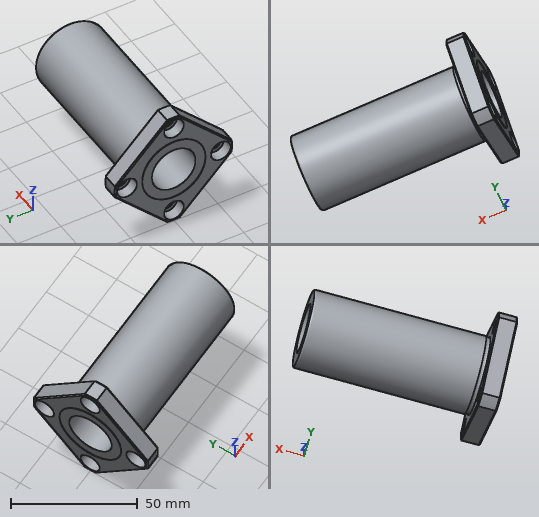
import cadquery as cq
import math

length = 80.0
body_diameter = 32.0
bore_diameter = 20.0

flange_thickness = 8.0
flange_across_flats = 42.0
flange_diameter = 54.0
flange_chamfer = 0.5

groove_width = 1.75
groove_depth = 0.4

rim_length = 1.0
rim_drop = 0.5

recess_diameter = 29.0
recess_depth = 0.2

hole_circle_diameter = 43.0
hole_count = 4
hole_diameter = 5.5
counterbore_diameter = 9.0
counterbore_depth = 5.1


def cylinder(diameter, start, end):
    """Round bar along X between two positions."""
    return cq.Workplane("YZ").workplane(offset=start).circle(diameter / 2).extrude(end - start)


def make_flange():
    """Square plate turned by 45 degrees, with round corners and chamfered rims."""
    square = (
        cq.Workplane("YZ")
        .transformed(rotate=(0, 0, 45))
        .rect(flange_across_flats, flange_across_flats)
        .extrude(flange_thickness)
    )
    plate = square.intersect(cylinder(flange_diameter, 0, flange_thickness))
    return plate.faces("<X or >X").edges().chamfer(flange_chamfer)


def make_body():
    """Sleeve turned about the X axis, with a groove at the flange and a rounded free rim."""
    radius = body_diameter / 2
    groove_middle = (flange_thickness + groove_width / 2, radius - groove_depth)
    groove_end = (flange_thickness + groove_width, radius)
    rim_start = length - rim_length
    return (
        cq.Workplane("XY")
        .moveTo(0, 0)
        .lineTo(0, radius)
        .lineTo(flange_thickness, radius)
        .threePointArc(groove_middle, groove_end)
        .lineTo(rim_start, radius)
        .tangentArcPoint((length, radius - rim_drop), relative=False)
        .lineTo(length, 0)
        .close()
        .revolve(360, (0, 0, 0), (1, 0, 0))
    )


def make_mounting_hole(index):
    """Cutter for one through hole with a counterbore from the flange face."""
    angle = 2 * math.pi * index / hole_count
    y = hole_circle_diameter / 2 * math.cos(angle)
    z = hole_circle_diameter / 2 * math.sin(angle)
    hole = cylinder(hole_diameter, 0, flange_thickness)
    counterbore = cylinder(counterbore_diameter, 0, counterbore_depth)
    return hole.union(counterbore).translate((0, y, z))


result = make_flange().union(make_body())
result = result.cut(cylinder(bore_diameter, 0, length))
result = result.cut(cylinder(recess_diameter, 0, recess_depth))
for hole_index in range(hole_count):
    result = result.cut(make_mounting_hole(hole_index))